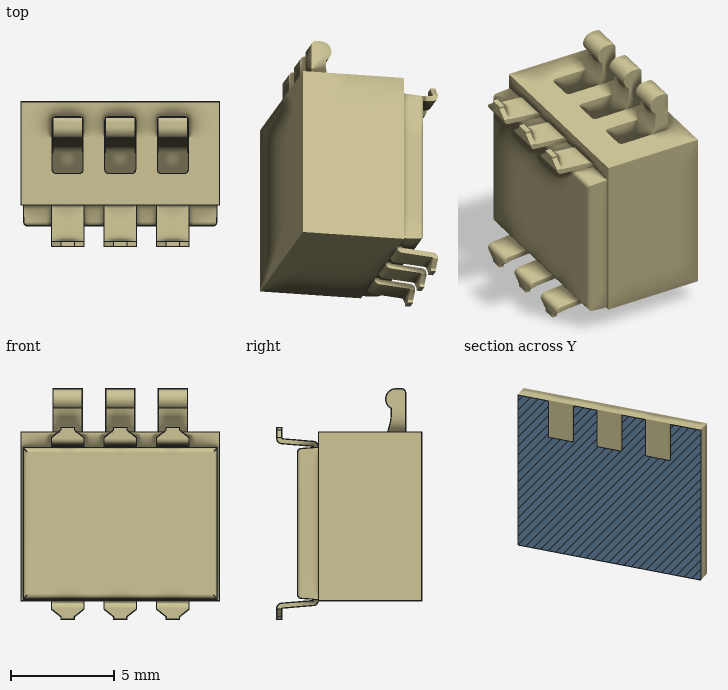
import cadquery as cq
import math


BODY_WIDTH = 9.6
BODY_DEPTH = 5.0
BODY_HEIGHT = 8.17

SWITCH_COUNT = 3
PITCH = 2.54

LEVER_WIDTH = 1.42
CLEARANCE = 0.04
SLOT_WIDTH = LEVER_WIDTH + 2 * CLEARANCE
SLOT_LENGTH = 2.75
SLOT_SETBACK = 0.73
SLOT_BACK = BODY_DEPTH - SLOT_SETBACK
SLOT_FLOOR = 6.2
SLOT_CORNER_RADIUS = 0.2

LEVER_BACK = SLOT_BACK - CLEARANCE
LEVER_TOP = 10.255
LEVER_BACK_RADIUS = 0.22
KNOB_RADIUS = 0.5
LEVER_FLAT_END = 0.48
NECK_DEPTH = 0.71
KNOB_CENTRE_Y = LEVER_BACK - LEVER_FLAT_END
KNOB_CENTRE_Z = LEVER_TOP - KNOB_RADIUS
NECK_Y = LEVER_BACK - NECK_DEPTH
NECK_BOTTOM = 9.06
FLARE_BOTTOM = 8.43
FLARE_ANGLE = math.radians(17)
FOOT_RADIUS = 0.28

COVER_WIDTH = 9.36
COVER_HEIGHT = 7.33
COVER_CENTRE_Z = 3.745
COVER_RIM = 0.26
COVER_THICKNESS = 1.01
COVER_DRAFT = math.tan(math.radians(4.0))
COVER_SIDE_DRAFT = math.tan(math.radians(1.0))
COVER_EDGE_RADIUS = 0.2

LEAD_WIDTH = 1.58
LEAD_THICKNESS = 0.25
LEAD_REACH = 2.01
LEAD_TIP = 4.64
LEAD_SLOPE = math.tan(math.radians(4.8))
LEAD_TOP_AT_BODY = 3.95
LEAD_ROOT_EMBED = 0.25
BEND_RADIUS = 0.25
INNER_BEND_RADIUS = 0.05
TIP_WIDTH = 0.65
TIP_LENGTH = 0.13
TAPER_LENGTH = 0.37


def switch_positions():
    first = -PITCH * (SWITCH_COUNT - 1) / 2
    return [first + index * PITCH for index in range(SWITCH_COUNT)]


def make_body():
    return cq.Workplane("XY").box(BODY_WIDTH, BODY_DEPTH, BODY_HEIGHT, centered=(True, False, False))


def cover_prism(plane, size, draft):
    """Prism whose section has a straight rim and then narrows toward the front at the given draft."""
    half_size = size / 2
    half_front = half_size - (COVER_THICKNESS - COVER_RIM) * draft
    return (
        cq.Workplane(plane)
        .moveTo(0, -half_size)
        .lineTo(COVER_RIM, -half_size)
        .lineTo(COVER_THICKNESS, -half_front)
        .lineTo(COVER_THICKNESS, half_front)
        .lineTo(COVER_RIM, half_size)
        .lineTo(0, half_size)
        .close()
        .extrude(COVER_WIDTH, both=True)
    )


def make_cover():
    """Straight rim, then a drafted plate with a rounded front edge."""
    forward = (0, -1, 0)
    centre = (0, 0, COVER_CENTRE_Z)
    height_prism = cover_prism(cq.Plane(centre, forward, (1, 0, 0)), COVER_HEIGHT, COVER_DRAFT)
    width_prism = cover_prism(cq.Plane(centre, forward, (0, 0, 1)), COVER_WIDTH, COVER_SIDE_DRAFT)
    return height_prism.intersect(width_prism).faces("<Y").edges().fillet(COVER_EDGE_RADIUS)


def make_slot(x):
    return (
        cq.Workplane("XY", origin=(x, SLOT_BACK - SLOT_LENGTH / 2, SLOT_FLOOR))
        .rect(SLOT_WIDTH, SLOT_LENGTH)
        .extrude(BODY_HEIGHT - SLOT_FLOOR)
        .edges("|Z")
        .fillet(SLOT_CORNER_RADIUS)
    )


def make_lever(x):
    """Lever with a round knob, a neck that flares out and a foot rounded into the slot floor."""
    knob_drop = math.sqrt(KNOB_RADIUS**2 - (KNOB_CENTRE_Y - NECK_Y) ** 2)
    flare_radius = (NECK_BOTTOM - FLARE_BOTTOM) / math.sin(FLARE_ANGLE)
    flare_y = NECK_Y - flare_radius * (1 - math.cos(FLARE_ANGLE))
    flare_mid_y = NECK_Y - flare_radius * (1 - math.cos(FLARE_ANGLE / 2))
    flare_mid_z = NECK_BOTTOM - flare_radius * math.sin(FLARE_ANGLE / 2)

    foot_top_z = SLOT_FLOOR + FOOT_RADIUS * (1 - math.sin(FLARE_ANGLE))
    foot_top_y = flare_y - (FLARE_BOTTOM - foot_top_z) * math.tan(FLARE_ANGLE)
    foot_end_y = foot_top_y - FOOT_RADIUS * math.cos(FLARE_ANGLE)
    foot_mid_angle = (FLARE_ANGLE - math.pi / 2) / 2
    foot_mid_y = foot_end_y + FOOT_RADIUS * math.cos(foot_mid_angle)
    foot_mid_z = SLOT_FLOOR + FOOT_RADIUS * (1 + math.sin(foot_mid_angle))

    profile = (
        cq.Workplane("YZ", origin=(x, 0, 0))
        .moveTo(LEVER_BACK, SLOT_FLOOR)
        .lineTo(LEVER_BACK, LEVER_TOP - LEVER_BACK_RADIUS)
        .radiusArc((LEVER_BACK - LEVER_BACK_RADIUS, LEVER_TOP), -LEVER_BACK_RADIUS)
        .lineTo(KNOB_CENTRE_Y, LEVER_TOP)
        .threePointArc(
            (KNOB_CENTRE_Y - KNOB_RADIUS, KNOB_CENTRE_Z),
            (NECK_Y, KNOB_CENTRE_Z - knob_drop),
        )
        .lineTo(NECK_Y, NECK_BOTTOM)
        .threePointArc((flare_mid_y, flare_mid_z), (flare_y, FLARE_BOTTOM))
        .lineTo(foot_top_y, foot_top_z)
        .threePointArc((foot_mid_y, foot_mid_z), (foot_end_y, SLOT_FLOOR))
        .close()
    )
    return profile.extrude(LEVER_WIDTH / 2, both=True)


def make_upper_lead(x):
    """Strip bent out of the cover and up into a blade with a tapered tip."""
    root = COVER_CENTRE_Z + COVER_HEIGHT / 2 - LEAD_ROOT_EMBED
    tip = COVER_CENTRE_Z + LEAD_TIP
    blade_back = LEAD_THICKNESS - LEAD_REACH
    top_at_body = COVER_CENTRE_Z + LEAD_TOP_AT_BODY
    top_at_blade = top_at_body - blade_back * LEAD_SLOPE
    bottom_at_root = top_at_body - LEAD_THICKNESS + LEAD_THICKNESS * LEAD_SLOPE
    bottom_at_blade = top_at_body - LEAD_THICKNESS + LEAD_REACH * LEAD_SLOPE
    outer_bends = [(0, top_at_body), (-LEAD_REACH, bottom_at_blade)]

    strip = (
        cq.Workplane("YZ", origin=(x, 0, 0))
        .moveTo(0, root)
        .lineTo(0, top_at_body)
        .lineTo(blade_back, top_at_blade)
        .lineTo(blade_back, tip)
        .lineTo(-LEAD_REACH, tip)
        .lineTo(-LEAD_REACH, bottom_at_blade)
        .lineTo(-LEAD_THICKNESS, bottom_at_root)
        .lineTo(-LEAD_THICKNESS, root)
        .close()
        .extrude(LEAD_WIDTH / 2, both=True)
    )
    for y, z in outer_bends:
        strip = strip.edges(cq.NearestToPointSelector((x, y, z))).fillet(BEND_RADIUS)
    inner_bend = cq.NearestToPointSelector((x, blade_back, top_at_blade))
    strip = strip.edges(inner_bend).fillet(INNER_BEND_RADIUS)

    half_width = LEAD_WIDTH / 2
    half_tip = TIP_WIDTH / 2
    neck = tip - TIP_LENGTH
    shoulder = neck - TAPER_LENGTH
    outline = (
        cq.Workplane("XZ", origin=(x, 0, 0))
        .moveTo(-half_width, root)
        .lineTo(-half_width, shoulder)
        .lineTo(-half_tip, neck)
        .lineTo(-half_tip, tip)
        .lineTo(half_tip, tip)
        .lineTo(half_tip, neck)
        .lineTo(half_width, shoulder)
        .lineTo(half_width, root)
        .close()
        .extrude(LEAD_REACH)
    )
    return strip.intersect(outline)


def make_lower_lead(x):
    return make_upper_lead(x).mirror("XY", (0, 0, COVER_CENTRE_Z))


result = make_body().union(make_cover())
for switch_x in switch_positions():
    result = result.cut(make_slot(switch_x))
    result = result.union(make_lever(switch_x))
    result = result.union(make_upper_lead(switch_x))
    result = result.union(make_lower_lead(switch_x))